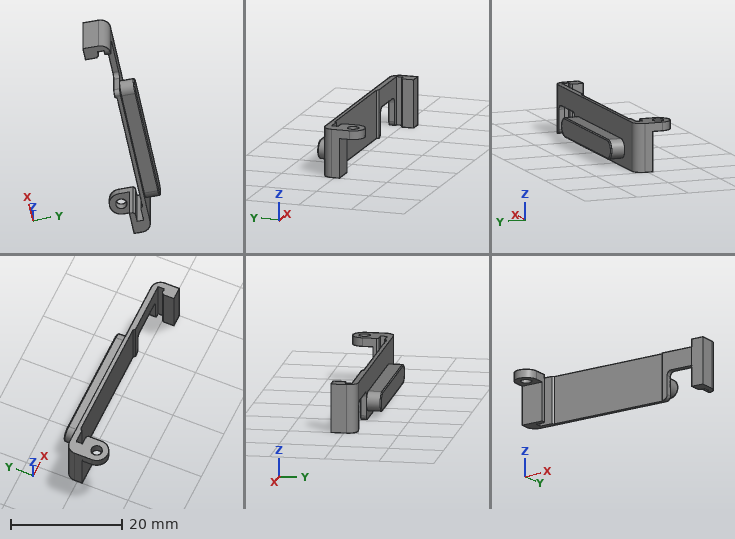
import cadquery as cq

length = 40.0
height = 9.0
corner_radius = 1.85

plate_thickness = 1.1
thin_thickness = 0.7
recess_slope = plate_thickness - thin_thickness
recess_left = 4.95
recess_right = 28.85

slot_front = 2.3
hook_chamfer = 0.35
left_wall = 2.45
left_hook_depth = 3.3
right_wall = 1.2
right_hook_width = 2.4
right_hook_depth = 4.7

lug_width = 4.35
lug_reach = 7.4
lug_radius = lug_width / 2
lug_center_y = lug_radius - lug_reach
lug_thickness = 1.6
lug_hole_diameter = 2.0

boss_left = 5.35
boss_length = 24.5
boss_height = 3.6
boss_depth = 2.7
boss_center_z = 3.25
boss_chamfer = 0.2

notch_left = 29.9
notch_right = length - right_hook_width
notch_height = 5.45
notch_radius = 0.9


def box(x_range, y_range, z_range):
    """Box spanning the given coordinate ranges."""
    ranges = (x_range, y_range, z_range)
    sizes = [high - low for low, high in ranges]
    corner = tuple(low for low, high in ranges)
    return cq.Workplane("XY").box(*sizes, centered=False).translate(corner)


def make_plate():
    plate = box((0, length), (-plate_thickness, 0), (0, height))
    recess = (
        cq.Workplane("XY")
        .moveTo(recess_left, -plate_thickness)
        .lineTo(recess_left + recess_slope, -thin_thickness)
        .lineTo(recess_right - recess_slope, -thin_thickness)
        .lineTo(recess_right, -plate_thickness)
        .close()
        .extrude(height)
    )
    return plate.cut(recess)


def cut_notch(plate):
    notch = box((notch_left, notch_right), (-plate_thickness, 0), (0, notch_height))
    notched = plate.cut(notch)
    near_notch = cq.selectors.BoxSelector(
        (notch_left - notch_radius / 2, -plate_thickness, -notch_radius),
        (notch_right + notch_radius / 2, 0, notch_height + notch_radius),
    )
    return notched.edges("|Y").edges(near_notch).fillet(notch_radius)


def make_hook(end_x, wall, width, depth, inward):
    """Hook at one end; inward is +1 or -1 along X, towards the middle."""
    tip_x = end_x + inward * width
    wall_x = end_x + inward * wall
    return (
        cq.Workplane("XY")
        .moveTo(end_x, -plate_thickness)
        .lineTo(wall_x, -plate_thickness)
        .lineTo(wall_x, -slot_front)
        .lineTo(tip_x - inward * hook_chamfer, -slot_front)
        .lineTo(tip_x, -slot_front - hook_chamfer)
        .lineTo(tip_x, -depth)
        .lineTo(end_x, -depth)
        .close()
        .extrude(height)
    )


def make_lug():
    bottom = height - lug_thickness
    tab = box((0, lug_width), (lug_center_y, -left_hook_depth), (bottom, height))
    center = cq.Workplane("XY", origin=(lug_radius, lug_center_y, bottom))
    hole = center.circle(lug_hole_diameter / 2).extrude(lug_thickness)
    return tab.union(center.circle(lug_radius).extrude(lug_thickness)).cut(hole)


def make_boss():
    boss_center_x = boss_left + boss_length / 2
    return (
        cq.Workplane("XZ", origin=(boss_center_x, 0, boss_center_z))
        .slot2D(boss_length, boss_height)
        .extrude(-boss_depth)
        .faces(">Y")
        .chamfer(boss_chamfer)
    )


left_hook = make_hook(0, left_wall, lug_width, left_hook_depth, 1)
right_hook = make_hook(length, right_wall, right_hook_width, right_hook_depth, -1)

frame = cut_notch(make_plate()).union(left_hook).union(right_hook).clean()
frame = frame.edges("|Z and >Y").edges("<X or >X").fillet(corner_radius)

result = frame.union(make_lug()).union(make_boss()).clean()